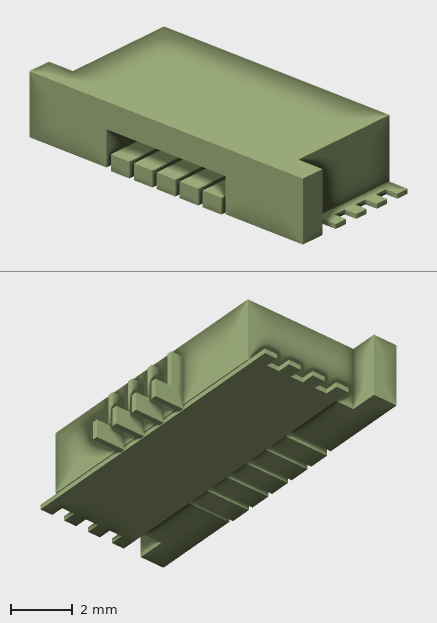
import cadquery as cq

PITCH = 1.0

TOTAL_HEIGHT = 2.56
HOUSING_BOTTOM = 0.18

FLANGE_WIDTH = 11.92
FLANGE_DEPTH = 0.95
BODY_WIDTH = 9.82
BODY_DEPTH = 5.39

PLATE_WIDTH = 11.48
PLATE_FRONT = 1.85
FINGER_COUNT = 4
FINGER_WIDTH = PITCH / 2
FINGER_LENGTH = 0.5
PLATE_DEPTH = (FINGER_COUNT - 1) * PITCH + FINGER_WIDTH

MOUTH_WIDTH = 5.19
MOUTH_TOP = 1.56
MOUTH_DEPTH = PLATE_FRONT
CONTACT_COUNT = 5
CONTACT_WIDTH = 0.81
CONTACT_BOTTOM = 0.11
CONTACT_TOP = 0.72

PIN_COUNT = 4
PIN_WIDTH = 0.2
PIN_END = 6.55
PIN_SHOULDER = 5.89
PIN_FOOT_HEIGHT = 0.69
PIN_SHOULDER_HEIGHT = 2.06


def centred_block(width, y_front, y_back, z_bottom, z_top, x_centre=0.0):
    """Box centred on x_centre, spanning the given Y and Z limits."""
    size = (width, y_back - y_front, z_top - z_bottom)
    corner = (x_centre - width / 2, y_front, z_bottom)
    return cq.Workplane("XY").box(*size, centered=False).translate(corner)


def row_centres(count):
    """X positions of a row at the shared pitch, symmetric about the middle."""
    return [(i - (count - 1) / 2) * PITCH for i in range(count)]


def make_housing():
    flange = centred_block(FLANGE_WIDTH, 0, FLANGE_DEPTH, HOUSING_BOTTOM, TOTAL_HEIGHT)
    body = centred_block(BODY_WIDTH, 0, BODY_DEPTH, HOUSING_BOTTOM, TOTAL_HEIGHT)
    mouth = centred_block(MOUTH_WIDTH, 0, MOUTH_DEPTH, HOUSING_BOTTOM, MOUTH_TOP)
    return flange.union(body).cut(mouth)


def make_solder_plate():
    spine_width = PLATE_WIDTH - 2 * FINGER_LENGTH
    plate = centred_block(spine_width, PLATE_FRONT, PLATE_FRONT + PLATE_DEPTH, 0, HOUSING_BOTTOM)
    for i in range(FINGER_COUNT):
        y_front = PLATE_FRONT + i * PITCH
        strip = centred_block(PLATE_WIDTH, y_front, y_front + FINGER_WIDTH, 0, HOUSING_BOTTOM)
        plate = plate.union(strip)
    return plate


def make_contact(x_centre):
    return centred_block(CONTACT_WIDTH, 0, MOUTH_DEPTH, CONTACT_BOTTOM, CONTACT_TOP, x_centre)


def make_pin(x_centre):
    foot = centred_block(PIN_WIDTH, BODY_DEPTH, PIN_END, 0, PIN_FOOT_HEIGHT, x_centre)
    shoulder = centred_block(PIN_WIDTH, BODY_DEPTH, PIN_SHOULDER, 0, PIN_SHOULDER_HEIGHT, x_centre)
    return foot.union(shoulder)


result = make_housing().union(make_solder_plate())
for x in row_centres(CONTACT_COUNT):
    result = result.union(make_contact(x))
for x in row_centres(PIN_COUNT):
    result = result.union(make_pin(x))